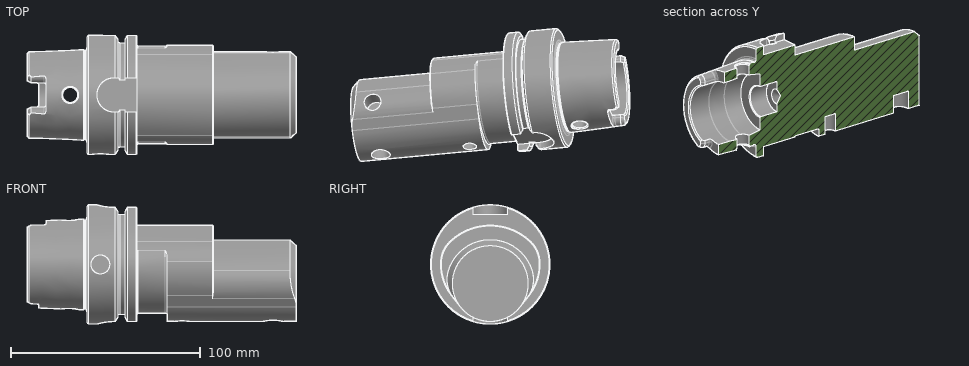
import cadquery as cq
import math

total_length = 141.9

taper_end_radius = 22.8
taper_gauge_radius = 24.0
taper_length = 29.7
taper_end_chamfer = 1.0

flange_diameter = 63.0
flange_start = 31.5
flange_end = 57.9
flange_front_chamfer = 0.9
flange_back_chamfer = 0.4
relief_start = 30.2
relief_end = 30.8
relief_radius = 23.5
relief_corner = 31.2
relief_corner_radius = 24.3
relief_face_radius = 25.3
groove_radius = 27.5
groove_front_edge = 46.4
groove_front_wall = 48.0
groove_back_wall = 51.5
groove_back_edge = 52.8
groove_wall_radius = 29.2
groove_floor_chamfer = 0.9
groove_floor_chamfer_height = 0.4

drive_slot_width = 18.0
drive_slot_start = 36.8
drive_slot_floor = 26.4

chip_hole_diameter = 10.0
chip_hole_x = 38.6
chip_hole_depth = 4.5

access_hole_diameter = 8.0
access_hole_x = 22.7
access_hole_rim_diameter = 9.0

bore_diameter = 34.0
bore_mouth_chamfer = 0.7
bore_straight_end = 13.3
bore_belly_x = 24.1
bore_belly_radius = 17.6
bore_floor_radius = 15.9
bore_depth = 34.0
coolant_diameter = 17.0
coolant_rim_diameter = 17.9
coolant_depth = 11.4
drill_tip_diameter = 8.4
drill_tip_angle = 118.0

notch_width = 12.6
notch_flare_radius = 3.4
notch_flare_height = 20.9
upper_notch_depth = 10.0
lower_notch_depth = 6.1
notch_mouth_chamfer = 1.1
notch_mouth_depth = 2.1
notch_floor_fillet = 1.1

eccentricity = 10.1
keel_radius = 20.0
collar_side_radius = 26.3
collar_top_radius = 30.8
shank_radius = 23.1
blend_radius = 16.0
shank_end_chamfer = 3.4
collar_end = 98.2
collar_chamfer = 0.4
neck_radius = 25.8
neck_end = 73.8
neck_flare_length = 1.0
neck_flare_height = 0.3
neck_root_chamfer = 0.4

screw_hole_depth = 10.0
clamp_hole_x = 129.5
side_clamp_diameter = 9.0
keel_clamp_diameter = 10.0
keel_rear_diameter = 7.0
keel_rear_x = 81.7

flange_radius = flange_diameter / 2
bore_radius = bore_diameter / 2
eccentric_z = -eccentricity
clearance_radius = 2 * flange_radius
flat_angle = math.asin((collar_side_radius - keel_radius) / eccentricity)


def polar(radius, angle, center_y=0.0, center_z=0.0):
    """Point (y, z) on a circle, with the angle measured up from +Y."""
    return (center_y + radius * math.cos(angle), center_z + radius * math.sin(angle))


def mirrored(point):
    return (-point[0], point[1])


def revolve_profile(points, axis_z=0.0):
    """Revolve (x, radius) points about an axis parallel to X at height axis_z."""
    profile = cq.Workplane("XZ", origin=(0, 0, axis_z)).polyline(points).close()
    return profile.revolve(360, (0, 0, 0), (1, 0, 0))


def make_taper_and_flange():
    return revolve_profile([
        (0, 0),
        (0, taper_end_radius - taper_end_chamfer),
        (taper_end_chamfer, taper_end_radius),
        (taper_length, taper_gauge_radius),
        (relief_start, relief_radius),
        (relief_end, relief_radius),
        (relief_corner, relief_corner_radius),
        (flange_start, relief_face_radius),
        (flange_start, flange_radius - flange_front_chamfer),
        (flange_start + flange_front_chamfer, flange_radius),
        (groove_front_edge, flange_radius),
        (groove_front_wall, groove_wall_radius),
        (groove_front_wall, groove_radius + groove_floor_chamfer_height),
        (groove_front_wall + groove_floor_chamfer, groove_radius),
        (groove_back_wall, groove_radius),
        (groove_back_wall, groove_wall_radius),
        (groove_back_edge, flange_radius),
        (flange_end - flange_back_chamfer, flange_radius),
        (flange_end, flange_radius - flange_back_chamfer),
        (flange_end, 0),
    ])


def make_drive_slot(side):
    """Round-ended slot on the +Z (side = 1) or -Z (side = -1) of the flange."""
    half_width = drive_slot_width / 2
    arc_center_x = drive_slot_start + half_width
    outline = (
        cq.Workplane("XY", origin=(0, 0, side * drive_slot_floor))
        .moveTo(flange_end, half_width)
        .lineTo(arc_center_x, half_width)
        .threePointArc((drive_slot_start, 0), (arc_center_x, -half_width))
        .lineTo(flange_end, -half_width)
        .close()
    )
    return outline.extrude(side * flange_radius)


def make_chip_hole():
    floor_y = chip_hole_depth - flange_radius
    plane = cq.Workplane("XZ", origin=(chip_hole_x, floor_y, 0))
    return plane.circle(chip_hole_diameter / 2).extrude(flange_radius)


def make_access_hole():
    hole_radius = access_hole_diameter / 2
    rim_radius = access_hole_rim_diameter / 2
    rim_depth = rim_radius - hole_radius
    slope = (taper_gauge_radius - taper_end_radius) / taper_length
    surface = taper_end_radius + slope * access_hole_x
    profile = (
        cq.Workplane("XZ", origin=(access_hole_x, 0, 0))
        .polyline([
            (0, -flange_radius),
            (rim_radius, -flange_radius),
            (rim_radius, -surface + rim_depth),
            (hole_radius, -surface + 2 * rim_depth),
            (hole_radius, surface - 2 * rim_depth),
            (rim_radius, surface - rim_depth),
            (rim_radius, flange_radius),
            (0, flange_radius),
        ])
        .close()
    )
    return profile.revolve(360, (0, 0, 0), (0, 1, 0))


def make_bore():
    coolant_radius = coolant_diameter / 2
    coolant_rim = coolant_rim_diameter / 2
    coolant_floor = bore_depth + coolant_depth
    tip_radius = drill_tip_diameter / 2
    tip_depth = tip_radius / math.tan(math.radians(drill_tip_angle / 2))
    return revolve_profile([
        (0, 0),
        (0, bore_radius + bore_mouth_chamfer),
        (bore_mouth_chamfer, bore_radius),
        (bore_straight_end, bore_radius),
        (bore_belly_x, bore_belly_radius),
        (bore_depth, bore_floor_radius),
        (bore_depth, coolant_rim),
        (bore_depth + coolant_rim - coolant_radius, coolant_radius),
        (coolant_floor, coolant_radius),
        (coolant_floor, tip_radius),
        (coolant_floor + tip_depth, 0),
    ])


def notch_outline():
    """Section across a driver notch, flaring out with rounded shoulders."""
    half_width = notch_width / 2
    shoulder_y = half_width + notch_flare_radius
    shoulder_z = notch_flare_height - notch_flare_radius
    arc_middle = polar(notch_flare_radius, math.radians(135), shoulder_y, shoulder_z)
    right = [(half_width, shoulder_z), arc_middle, (shoulder_y, notch_flare_height)]
    left = [mirrored(point) for point in right]
    return (
        cq.Workplane("YZ")
        .moveTo(half_width, 0)
        .lineTo(*right[0])
        .threePointArc(right[1], right[2])
        .lineTo(flange_radius, notch_flare_height)
        .lineTo(flange_radius, flange_radius)
        .lineTo(-flange_radius, flange_radius)
        .lineTo(-flange_radius, notch_flare_height)
        .lineTo(*left[2])
        .threePointArc(left[1], left[0])
        .lineTo(-half_width, 0)
        .close()
    )


def make_driver_notch(side, depth):
    """Notch through one wall of the taper mouth, with a filleted floor and chamfered rim."""
    notch = notch_outline().extrude(depth).faces(">X").edges().fillet(notch_floor_fillet)
    mouth_angle = math.degrees(math.atan2(notch_mouth_chamfer, notch_mouth_depth))
    mouth_outline = notch_outline().offset2D(notch_mouth_chamfer)
    mouth = mouth_outline.extrude(notch_mouth_depth, taper=mouth_angle)
    notch = notch.union(mouth)
    return notch if side > 0 else notch.mirror("XY")


def collar_outline(start_x):
    """Wide section: eccentric top arc, blends, concentric sides, flats and keel arc."""
    side_reach = collar_side_radius - blend_radius
    top_reach = collar_top_radius - blend_radius
    blend_z = (top_reach**2 - side_reach**2 - eccentricity**2) / (2 * eccentricity)
    side_start_angle = math.asin(blend_z / side_reach)
    top_end_angle = math.asin((blend_z - eccentric_z) / top_reach)
    blend_y = side_reach * math.cos(side_start_angle)
    top_end = polar(collar_top_radius, top_end_angle, 0, eccentric_z)
    blend_middle = polar(blend_radius, (side_start_angle + top_end_angle) / 2, blend_y, blend_z)
    side_start = polar(collar_side_radius, side_start_angle)
    side_middle = polar(collar_side_radius, (side_start_angle - flat_angle) / 2)
    side_end = polar(collar_side_radius, -flat_angle)
    keel_start = polar(keel_radius, -flat_angle, 0, eccentric_z)
    return (
        cq.Workplane("YZ", origin=(start_x, 0, 0))
        .moveTo(*mirrored(top_end))
        .threePointArc((0, eccentric_z + collar_top_radius), top_end)
        .threePointArc(blend_middle, side_start)
        .threePointArc(side_middle, side_end)
        .lineTo(*keel_start)
        .threePointArc((0, eccentric_z - keel_radius), mirrored(keel_start))
        .lineTo(*mirrored(side_end))
        .threePointArc(mirrored(side_middle), mirrored(side_start))
        .threePointArc(mirrored(blend_middle), mirrored(top_end))
        .close()
    )


def shank_outline(start_x):
    """Narrow section: eccentric top arc, blends, and the collar's flats and keel arc."""
    flat_reach = keel_radius - blend_radius
    top_reach = shank_radius - blend_radius
    top_end_angle = math.acos(flat_reach / top_reach) - flat_angle
    blend_center = polar(top_reach, top_end_angle, 0, eccentric_z)
    top_end = polar(shank_radius, top_end_angle, 0, eccentric_z)
    blend_middle = polar(blend_radius, (top_end_angle - flat_angle) / 2, *blend_center)
    flat_start = polar(blend_radius, -flat_angle, *blend_center)
    keel_start = polar(keel_radius, -flat_angle, 0, eccentric_z)
    return (
        cq.Workplane("YZ", origin=(start_x, 0, 0))
        .moveTo(*mirrored(top_end))
        .threePointArc((0, eccentric_z + shank_radius), top_end)
        .threePointArc(blend_middle, flat_start)
        .lineTo(*keel_start)
        .threePointArc((0, eccentric_z - keel_radius), mirrored(keel_start))
        .lineTo(*mirrored(flat_start))
        .threePointArc(mirrored(blend_middle), mirrored(top_end))
        .close()
    )


def make_collar():
    """Collar with a turned neck behind the flange and a chamfered end."""
    chamfer_start = collar_end - collar_chamfer
    collar = collar_outline(flange_end).extrude(chamfer_start - flange_end)
    neck_limit = revolve_profile([
        (flange_end, 0),
        (flange_end, neck_radius + neck_root_chamfer),
        (flange_end + neck_root_chamfer, neck_radius),
        (neck_end - neck_flare_length, neck_radius),
        (neck_end, neck_radius + neck_flare_height),
        (neck_end, clearance_radius),
        (chamfer_start, clearance_radius),
        (chamfer_start, 0),
    ])
    chamfered_end = collar_outline(chamfer_start).extrude(collar_chamfer, taper=45)
    return collar.intersect(neck_limit).union(chamfered_end)


def make_shank():
    """Shank with its end chamfered about the eccentric axis."""
    start_x = collar_end - collar_chamfer
    shank = shank_outline(start_x).extrude(total_length - start_x)
    end_limit = revolve_profile([
        (start_x, 0),
        (start_x, clearance_radius),
        (total_length - shank_end_chamfer, clearance_radius),
        (total_length - shank_end_chamfer, shank_radius),
        (total_length, keel_radius),
        (total_length, 0),
    ], eccentric_z)
    return shank.intersect(end_limit)


def make_keel_hole(x, diameter):
    """Blind hole rising into the keel from below."""
    keel_bottom = eccentric_z - keel_radius
    plane = cq.Workplane("XY", origin=(x, 0, keel_bottom))
    return plane.circle(diameter / 2).extrude(screw_hole_depth)


def make_side_hole(x, diameter):
    """Blind hole into the +Y side of the shank, level with the eccentric axis."""
    plane = cq.Workplane("XZ", origin=(x, shank_radius, eccentric_z))
    return plane.circle(diameter / 2).extrude(screw_hole_depth)


def make_holder():
    holder = make_taper_and_flange()
    for side in (1, -1):
        holder = holder.cut(make_drive_slot(side))
    holder = holder.union(make_collar()).union(make_shank())
    holder = holder.cut(make_bore())
    holder = holder.cut(make_driver_notch(1, upper_notch_depth))
    holder = holder.cut(make_driver_notch(-1, lower_notch_depth))
    holder = holder.cut(make_access_hole())
    holder = holder.cut(make_chip_hole())
    holder = holder.cut(make_keel_hole(keel_rear_x, keel_rear_diameter))
    holder = holder.cut(make_keel_hole(clamp_hole_x, keel_clamp_diameter))
    return holder.cut(make_side_hole(clamp_hole_x, side_clamp_diameter))


holder = make_holder()
result = cq.Compound.makeCompound([holder.val()])